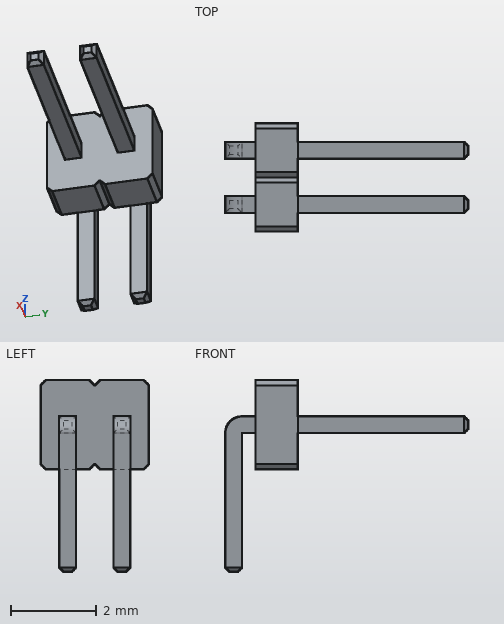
import cadquery as cq

pin_count = 2
pitch = 1.27
overall_length = 5.7
overall_height = 4.5

body_length = 1.0
body_height = 2.1
body_offset = 0.705
corner_chamfer = 0.125

pin_width = 0.4
tip_chamfer = 0.1

arm_top = pin_width / 2
leg_bottom = body_height / 2 - overall_height


def housing_segment(y):
    """One housing block with its four lengthwise edges chamfered."""
    return (
        cq.Workplane("XY")
        .box(body_length, pitch, body_height)
        .edges("|X")
        .chamfer(corner_chamfer)
        .translate((body_offset + body_length / 2, y, 0))
    )


def bent_pin(y):
    """An L-shaped square pin with tapered ends."""
    return (
        cq.Workplane("XZ", origin=(0, y, 0))
        .moveTo(0, leg_bottom)
        .lineTo(0, arm_top - pin_width)
        .radiusArc((pin_width, arm_top), pin_width)
        .lineTo(overall_length, arm_top)
        .lineTo(overall_length, arm_top - pin_width)
        .lineTo(pin_width, arm_top - pin_width)
        .lineTo(pin_width, leg_bottom)
        .close()
        .extrude(pin_width / 2, both=True)
        .faces(">X or <Z")
        .chamfer(tip_chamfer)
    )


result = cq.Workplane("XY")
for index in range(pin_count):
    y_position = (index - (pin_count - 1) / 2) * pitch
    result = result.add(housing_segment(y_position)).add(bent_pin(y_position))
result = result.combine()